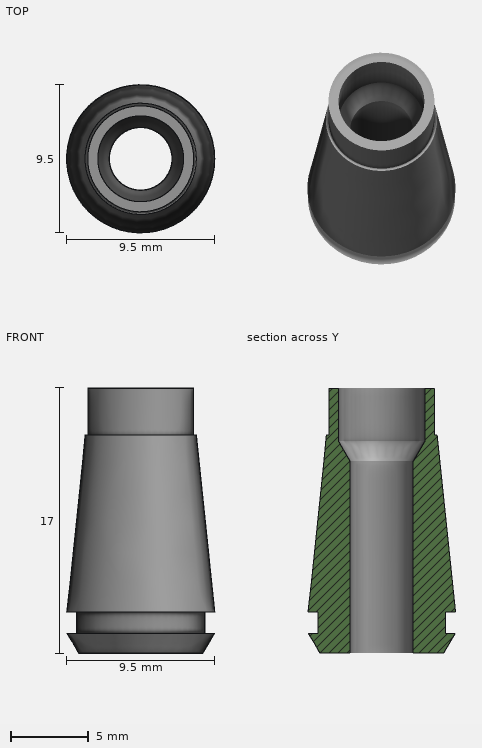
import math

import cadquery as cq

total_height = 17.0
flange_top = 1.28
sleeve_bottom = 2.65
sleeve_top = 14.0

flange_bottom_radius = 3.98
flange_top_radius = 4.73
groove_radius = 4.11
sleeve_bottom_diameter = 9.5
sleeve_bottom_radius = sleeve_bottom_diameter / 2
sleeve_top_radius = 3.57
neck_radius = 3.4

bore_radius = 2.75
bore_depth = 3.4
outlet_radius = 2.0
funnel_half_angle = 30.0

bore_floor = total_height - bore_depth
funnel_height = (bore_radius - outlet_radius) / math.tan(math.radians(funnel_half_angle))
funnel_bottom = bore_floor - funnel_height

section = (
    cq.Workplane("XZ")
    .moveTo(outlet_radius, 0)
    .lineTo(flange_bottom_radius, 0)
    .lineTo(flange_top_radius, flange_top)
    .lineTo(groove_radius, flange_top)
    .lineTo(groove_radius, sleeve_bottom)
    .lineTo(sleeve_bottom_radius, sleeve_bottom)
    .lineTo(sleeve_top_radius, sleeve_top)
    .lineTo(neck_radius, sleeve_top)
    .lineTo(neck_radius, total_height)
    .lineTo(bore_radius, total_height)
    .lineTo(bore_radius, bore_floor)
    .lineTo(outlet_radius, funnel_bottom)
    .close()
)

result = section.revolve(360, (0, 0, 0), (0, 1, 0))